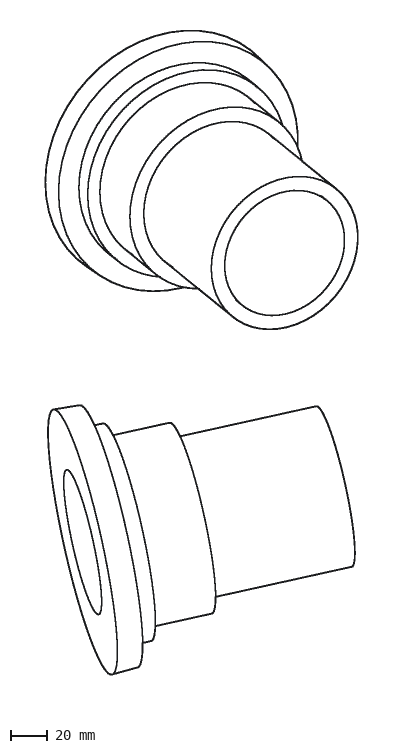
import cadquery as cq

total_length = 142.0
flange_end = 14.5
collar_end = 25.0
hub_end = 61.0

flange_face_diameter = 148.5
flange_back_diameter = 147.0
collar_diameter = 122.0
hub_diameter = 107.0
spigot_diameter = 90.0

bore_diameter = 73.6
counterbore_diameter = 81.0
counterbore_depth = 22.0


def frustum(start, end, start_diameter, end_diameter):
    """Solid of revolution about X whose radius changes linearly from start to end."""
    profile = [
        (start, 0),
        (start, -start_diameter / 2),
        (end, -end_diameter / 2),
        (end, 0),
    ]
    return cq.Workplane("XY").polyline(profile).close().revolve(360, (0, 0, 0), (1, 0, 0))


def cylinder(start, end, diameter):
    """Straight cylinder about X."""
    return frustum(start, end, diameter, diameter)


body = frustum(0, flange_end, flange_face_diameter, flange_back_diameter)
body = body.union(cylinder(flange_end, collar_end, collar_diameter))
body = body.union(cylinder(collar_end, hub_end, hub_diameter))
body = body.union(cylinder(hub_end, total_length, spigot_diameter))

body = body.cut(cylinder(0, total_length, bore_diameter))
result = body.cut(cylinder(0, counterbore_depth, counterbore_diameter))